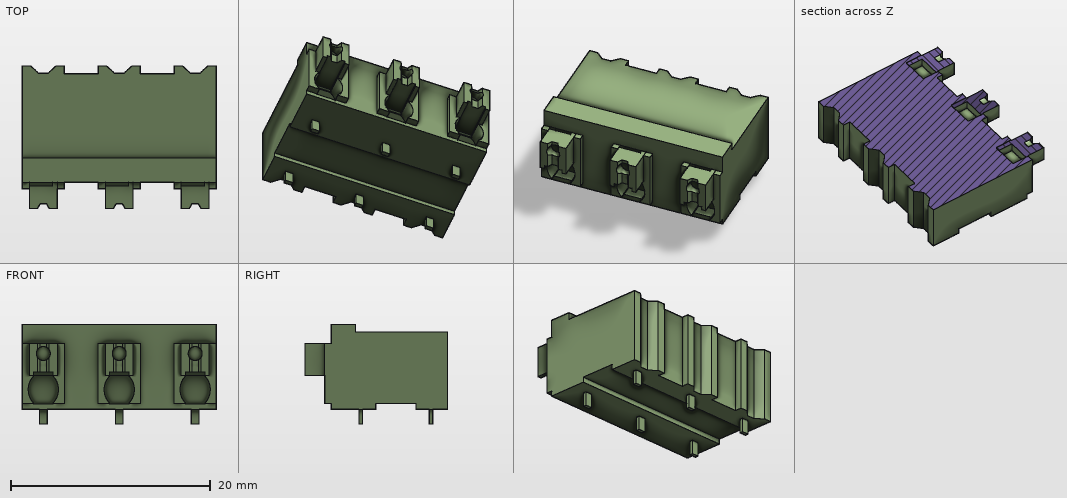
import cadquery as cq


pole_count = 3
pole_pitch = 7.6
pole_xs = [(i - (pole_count - 1) / 2) * pole_pitch for i in range(pole_count)]

overall_height = 10.0
housing_width = 19.46
housing_depth = 11.68
housing_height = 8.5
deck_height = 7.75
ridge_depth = 2.45
under_recess_front = 4.48
under_recess_back = 8.5
under_recess_height = 0.56

pad_width = housing_width - (pole_count - 1) * pole_pitch
front_pad_depth = 0.65
front_pad_top = 6.62
back_pad_depth = 0.78

back_groove_outer_width = 2.51
back_groove_inner_width = 0.95
back_groove_depth = 0.72

entry_bottom = 0.5
entry_wall_top = 0.65
entry_center_height = 1.9
entry_half_width = 1.52
entry_floor_half_width = 1.0
entry_roof_half_width = 0.93
entry_back = 1.32

button_width = 2.8
button_front = -2.63
button_bottom = 3.37
button_slot_front = -0.33
button_slot_floor = 4.09
button_neck_width = 0.49
pocket_back = 1.23

tool_groove_outer_width = 1.19
tool_groove_inner_width = 0.62
tool_groove_depth = 0.49
tool_hole_radius = 0.7
tool_hole_height = 5.59
tool_hole_depth = 1.17
relief_width = 1.93
relief_height = 0.35

pin_width = 0.8
pin_thickness = 0.37
pin_length = overall_height - housing_height
pin_ys = [2.98, 10.0]


def block(x_range, y_range, z_range):
    """A box given by its two limits along each axis."""
    (x0, x1), (y0, y1), (z0, z1) = x_range, y_range, z_range
    return cq.Workplane().box(x1 - x0, y1 - y0, z1 - z0, centered=False).translate((x0, y0, z0))


def centered_range(x, width):
    """The two limits of a width centred on x."""
    return (x - width / 2, x + width / 2)


def vertical_groove(x, mouth_y, outer_width, inner_width, depth, z_range):
    """A trapezoid groove along Z; a positive depth runs toward +Y."""
    bottom, top = z_range
    return (
        cq.Workplane("XY", origin=(x, mouth_y, bottom))
        .polyline([
            (-outer_width / 2, 0),
            (outer_width / 2, 0),
            (inner_width / 2, depth),
            (-inner_width / 2, depth),
        ])
        .close()
        .extrude(top - bottom)
    )


def wire_entry(x):
    """A blind opening with bowed sides, a flat floor and a flat roof under the button."""
    return (
        cq.Workplane("XZ", origin=(x, entry_back, 0))
        .moveTo(-entry_floor_half_width, entry_bottom)
        .lineTo(entry_floor_half_width, entry_bottom)
        .lineTo(entry_floor_half_width, entry_wall_top)
        .threePointArc((entry_half_width, entry_center_height), (entry_roof_half_width, button_bottom))
        .lineTo(-entry_roof_half_width, button_bottom)
        .threePointArc((-entry_half_width, entry_center_height), (-entry_floor_half_width, entry_wall_top))
        .close()
        .extrude(entry_back + front_pad_depth)
    )


def make_housing():
    """A ridged block with a recess underneath, and a button pocket and wire entry at each pole."""
    x_full = centered_range(0, housing_width)
    body = block(x_full, (0, housing_depth - back_pad_depth), (0, deck_height))
    body = body.union(block(x_full, (0, ridge_depth), (0, housing_height)))

    for x in pole_xs:
        x_pad = centered_range(x, pad_width)
        body = body.union(block(x_pad, (-front_pad_depth, ridge_depth), (under_recess_height, front_pad_top)))
        body = body.union(block(x_pad, (under_recess_back, housing_depth), (0, deck_height)))

    body = body.cut(block(x_full, (under_recess_front, under_recess_back), (0, under_recess_height)))

    for x in pole_xs:
        body = body.cut(
            vertical_groove(
                x, housing_depth, back_groove_outer_width, back_groove_inner_width,
                -back_groove_depth, (0, deck_height),
            )
        )
        x_pocket = centered_range(x, button_width)
        body = body.cut(block(x_pocket, (-front_pad_depth, pocket_back), (button_bottom, front_pad_top)))
        body = body.cut(wire_entry(x))
    return body


def make_button(x):
    """A push button with a slot behind its head, closed on the right by a thin neck."""
    x_left, x_right = centered_range(x, button_width)
    z_full = (button_bottom, front_pad_top)
    button = block((x_left, x_right), (button_front, pocket_back), z_full)
    slot = block(
        (x_left, x_right - button_neck_width),
        (button_slot_front, pocket_back),
        (button_slot_floor, front_pad_top),
    )
    button = button.cut(slot)

    button = button.cut(
        vertical_groove(
            x, button_front, tool_groove_outer_width, tool_groove_inner_width, tool_groove_depth, z_full,
        )
    )
    tool_hole = (
        cq.Workplane("XZ", origin=(x, button_front, tool_hole_height))
        .circle(tool_hole_radius)
        .extrude(-tool_hole_depth)
    )
    relief = block(
        centered_range(x, relief_width),
        (button_front, pocket_back),
        (button_bottom, button_bottom + relief_height),
    )
    return button.cut(tool_hole).cut(relief)


def make_pin(x, y):
    """A flat solder pin that hangs from the underside of the housing."""
    return block(centered_range(x, pin_width), centered_range(y, pin_thickness), (-pin_length, 0))


housing = make_housing()
buttons = [make_button(x) for x in pole_xs]
pins = [make_pin(x, y) for x in pole_xs for y in pin_ys]

result = cq.Compound.makeCompound(
    [housing.val(), *[button.val() for button in buttons], *[pin.val() for pin in pins]]
)